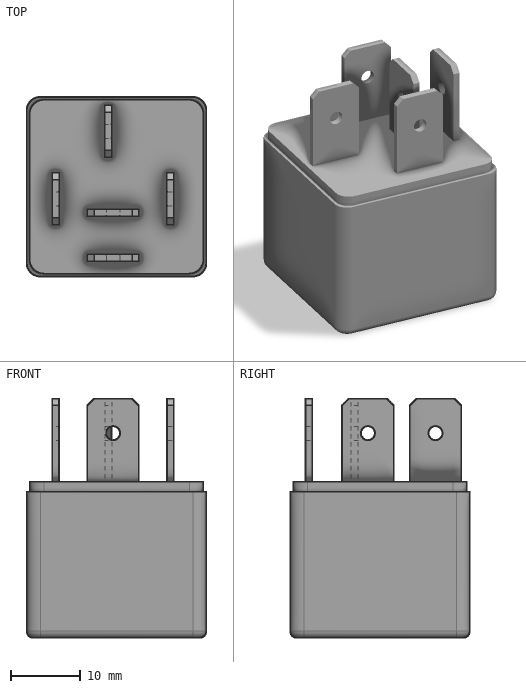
import cadquery as cq

case_width = 26.0
case_height = 21.13
corner_radius = 2.0
bottom_fillet = 1.0

plate_inset = 0.45
plate_height = 1.47
plate_width = case_width - 2 * plate_inset
plate_top = case_height + plate_height

blade_width = 7.5
blade_thickness = 1.0
blade_height = 12.0
tip_chamfer = 1.0
hole_diameter = 2.0
hole_below_tip = 5.0
blade_root = 0.5

layout_axis_x = -0.5
side_offset = 8.3
side_y = -1.75
front_y = -10.28
middle_y = -3.75
back_x = -1.22
back_y = 8.02

blades_along_x = [(layout_axis_x, front_y), (layout_axis_x, middle_y)]
blades_along_y = [
    (layout_axis_x - side_offset, side_y),
    (layout_axis_x + side_offset, side_y),
    (back_x, back_y),
]


def make_case():
    case = cq.Workplane("XY").rect(case_width, case_width).extrude(case_height)
    case = case.edges("|Z").fillet(corner_radius)
    return case.faces("<Z").edges().fillet(bottom_fillet)


def make_plate():
    plate = cq.Workplane("XY").workplane(offset=case_height)
    plate = plate.rect(plate_width, plate_width).extrude(plate_height)
    return plate.edges("|Z").fillet(corner_radius)


def make_blade():
    """Blade centred on the Z axis, width along X, standing on the plate top."""
    blade = cq.Workplane("XY").workplane(offset=plate_top - blade_root)
    blade = blade.rect(blade_width, blade_thickness).extrude(blade_root + blade_height)
    blade = blade.edges("|Y and >Z").chamfer(tip_chamfer)
    hole_height = plate_top + blade_height - hole_below_tip
    hole = cq.Workplane("XZ").center(0, hole_height).circle(hole_diameter / 2)
    return blade.cut(hole.extrude(blade_thickness, both=True))


blade_x = make_blade()
blade_y = blade_x.rotate((0, 0, 0), (0, 0, 1), 90)

result = make_case().union(make_plate())
for x, y in blades_along_x:
    result = result.union(blade_x.translate((x, y, 0)))
for x, y in blades_along_y:
    result = result.union(blade_y.translate((x, y, 0)))